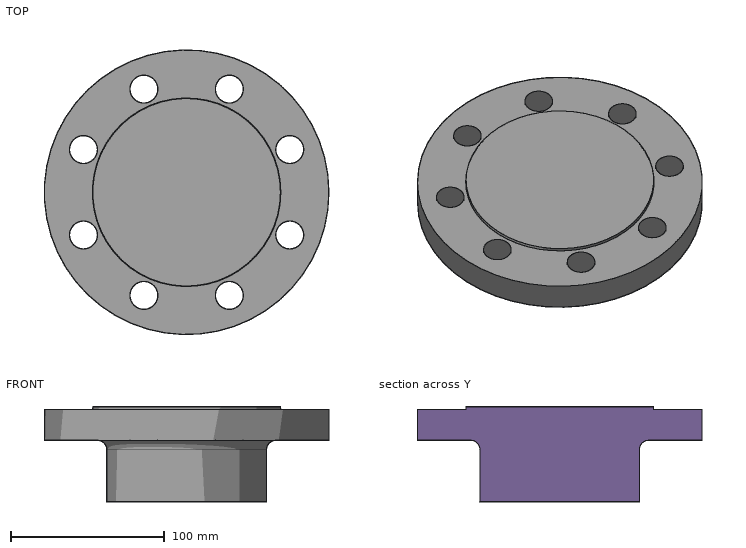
import cadquery as cq

flange_diameter = 185.0
flange_thickness = 20.2
face_diameter = 122.5
total_height = 62.0
face_height = 1.8
face_taper_angle = 10.0
hub_diameter = 104.0
hub_fillet_radius = 6.0
hole_diameter = 18.0
bolt_circle_diameter = 145.0
hole_count = 8

hub_length = total_height - flange_thickness - face_height
half_hole_spacing = 360 / hole_count / 2


def make_body():
    """Hub from Z = 0, flange above it and tapered raised face on top, with a rounded hub root."""
    hub = cq.Workplane("XY").circle(hub_diameter / 2).extrude(hub_length)
    flange = hub.faces(">Z").workplane().circle(flange_diameter / 2).extrude(flange_thickness)
    body = flange.faces(">Z").workplane().circle(face_diameter / 2).extrude(face_height, taper=face_taper_angle)
    hub_edges = body.edges("%CIRCLE").edges(cq.selectors.RadiusNthSelector(0))
    return hub_edges.edges(">Z").fillet(hub_fillet_radius)


def make_bolt_holes():
    """Cutters for the bolt holes, straddling the X and Y axes."""
    return (
        cq.Workplane("XY")
        .workplane(offset=hub_length)
        .polarArray(bolt_circle_diameter / 2, half_hole_spacing, 360, hole_count)
        .circle(hole_diameter / 2)
        .extrude(flange_thickness)
    )


result = make_body().cut(make_bolt_holes())